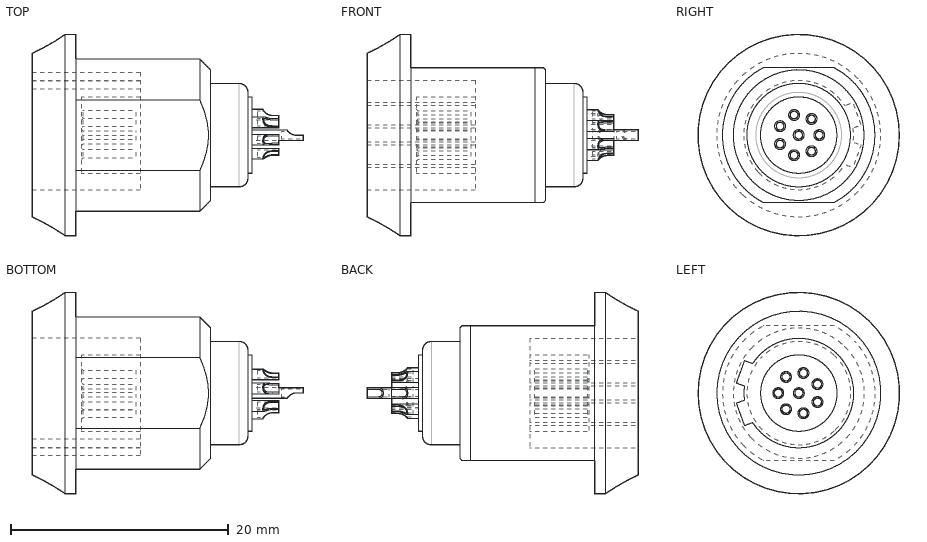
import cadquery as cq
import math

total_length = 24.9
flange_face_radius = 7.52
flange_diameter = 18.5
flange_radius = flange_diameter / 2
flare_length = 3.05
flare_hollow = 0.087
flange_back = 4.0
body_radius = 7.0
body_end = 16.38
body_chamfer = 1
flat_height = 6.2
boss_radius = 4.75
boss_end = 19.82
boss_fillet = 0.82

bore_radius = 5.03
cavity_depth = 9.95
keyway_angle = 20
keyway_width = 2.2
keyway_reach = 5.7

insert_radius = 3.5
insert_front = 4.55
insert_back = 20.2

contact_radius = 0.5
ring_count = 7
ring_radius = 1.9
ring_contact_end = 22.65
socket_radius = 0.37
socket_depth = 4.98
socket_lead_in = 0.12
cup_radius = 0.35
cup_depth = 2
cup_cut_length = 1.5
cup_cut_radius = 1
ring_cut_level = -0.07


def cylinder(start, end, radius):
    """Cylinder along X between two stations."""
    return cq.Workplane("YZ", origin=(start, 0, 0)).circle(radius).extrude(end - start)


def make_flange():
    """Flange with a slightly hollow flared rim."""
    flare_middle = (
        flare_length / 2,
        (flange_face_radius + flange_radius) / 2 - flare_hollow,
    )
    return (
        cq.Workplane("XY")
        .lineTo(0, flange_face_radius)
        .threePointArc(flare_middle, (flare_length, flange_radius))
        .lineTo(flange_back, flange_radius)
        .lineTo(flange_back, 0)
        .close()
        .revolve(360, (0, 0, 0), (1, 0, 0))
    )


def make_body():
    """Barrel with a chamfered rear edge and flats on its +Z and -Z sides."""
    barrel = cylinder(0, body_end, body_radius).faces(">X").chamfer(body_chamfer)
    between_flats = cq.Workplane("XY").box(2 * body_end, 3 * body_radius, 2 * flat_height)
    return barrel.intersect(between_flats)


def make_boss():
    return cylinder(flange_back, boss_end, boss_radius).faces(">X").edges().fillet(boss_fillet)


def make_cavity():
    """Round bore plus the two keyways, as a solid to cut away."""
    cavity = cylinder(0, cavity_depth, bore_radius)
    keyway = cq.Workplane("XY").box(
        cavity_depth, keyway_reach, keyway_width, centered=(False, False, True)
    )
    for angle in (-keyway_angle, keyway_angle):
        cavity = cavity.union(keyway.rotate((0, 0, 0), (1, 0, 0), angle))
    return cavity


def make_socket():
    """Blind contact hole with a conical lead-in, on the part axis."""
    mouth_radius = socket_radius + socket_lead_in
    return (
        cq.Workplane("XY", origin=(insert_front, 0, 0))
        .lineTo(0, mouth_radius)
        .lineTo(socket_lead_in, socket_radius)
        .lineTo(socket_depth, socket_radius)
        .lineTo(socket_depth, 0)
        .close()
        .revolve(360, (0, 0, 0), (1, 0, 0))
    )


def make_solder_cup(end, cut_level):
    """Contact tail on the part axis, hollowed and cut open above cut_level in Y near the tip."""
    centre_rise = cup_cut_radius + cut_level - contact_radius
    run_out = math.sqrt(cup_cut_radius**2 - centre_rise**2)
    half_run_angle = math.acos(centre_rise / cup_cut_radius) / 2
    cut_start = end - cup_cut_length
    arc_end = cut_start + run_out
    arc_middle = (
        arc_end - cup_cut_radius * math.sin(half_run_angle),
        cut_level + cup_cut_radius * (1 - math.cos(half_run_angle)),
    )
    opening = (
        cq.Workplane("XY")
        .moveTo(end, cut_level)
        .lineTo(arc_end, cut_level)
        .threePointArc(arc_middle, (cut_start, contact_radius))
        .lineTo(end, contact_radius)
        .close()
        .extrude(contact_radius, both=True)
    )
    tail = cylinder(boss_end, end, contact_radius)
    return tail.cut(cylinder(end - cup_depth, end, cup_radius)).cut(opening)


def around_ring(shape):
    """Copies of an on-axis shape on the contact ring, each turned to face outward."""
    outermost = shape.translate((0, ring_radius, 0))
    return [
        outermost.rotate((0, 0, 0), (1, 0, 0), 360 * index / ring_count)
        for index in range(ring_count)
    ]


shell = make_flange().union(make_body()).union(make_boss()).cut(make_cavity())
result = shell.union(cylinder(insert_front, insert_back, insert_radius))

socket = make_socket()
for hole in [socket] + around_ring(socket):
    result = result.cut(hole)

central_tail = make_solder_cup(total_length, 0)
ring_tail = make_solder_cup(ring_contact_end, ring_cut_level)
for tail in [central_tail] + around_ring(ring_tail):
    result = result.union(tail)